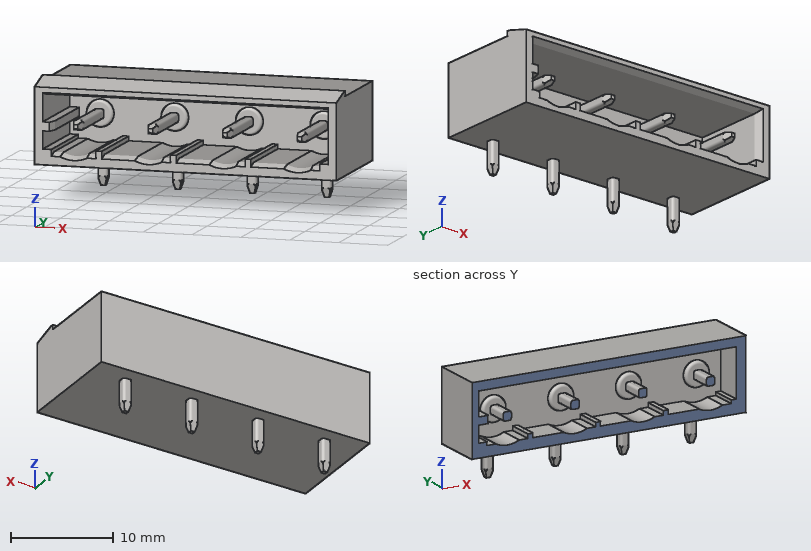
import cadquery as cq


length = 30.85
depth = 11.9
body_height = 7.9
total_height = 11.9
ridge_height = 8.42
ridge_back = 2.93
ridge_flat = 0.37
front_height = 7.7
half_length = length / 2

back_wall = 3.0
cavity_depth = depth - back_wall
end_wall = 0.83
ledge_z = 1.57
floor_z = 1.2
ceiling_z = 6.88
mouth_flare = 0.3
mouth_depth = 0.93

pin_count = 4
pin_pitch = 7.62
pin_size = 1.0
pin_edge_radius = 0.28
pin_axis_z = 3.83
pin_leg_y = depth - 2.0
pin_front_y = 0.75
pin_bottom_z = ridge_height - total_height
tip_length = 1.0
tip_size = 0.43
pin_xs = [(i - (pin_count - 1) / 2) * pin_pitch for i in range(pin_count)]

boss_diameter = 2.75
boss_height = 0.5
boss_round = 0.28
groove_radius = 2.93

floor_half_width = 2.28
rib_width = 0.6
rib_top_z = 1.67
key_width = 1.0
key_height = 0.9
key_z = pin_axis_z


def box(x0, x1, y0, y1, z0, z1):
    """Axis-aligned box between the given limits."""
    return cq.Workplane("XY").box(x1 - x0, y1 - y0, z1 - z0, centered=False).translate((x0, y0, z0))


def plane_facing_back(x, y, z):
    """Sketch plane whose normal is +Y and whose second axis is +Z."""
    return cq.Workplane(cq.Plane(origin=(x, y, z), xDir=(-1, 0, 0), normal=(0, 1, 0)))


def mouth(front, back):
    """Tapered mouth between two rectangles, each given as (x0, x1, z0, z1)."""

    def rectangle(limits, y):
        x0, x1, z0, z1 = limits
        corners = [(x0, y, z0), (x1, y, z0), (x1, y, z1), (x0, y, z1)]
        return cq.Wire.makePolygon([cq.Vector(*corner) for corner in corners], close=True)

    return cq.Workplane(cq.Solid.makeLoft([rectangle(front, 0), rectangle(back, mouth_depth)], True))


def make_shroud():
    profile = [
        (0, 0),
        (depth, 0),
        (depth, body_height),
        (ridge_back, body_height),
        (ridge_back, ridge_height),
        (ridge_back - ridge_flat, ridge_height),
        (0, front_height),
    ]
    return cq.Workplane("YZ").polyline(profile).close().extrude(length).translate((-half_length, 0, 0))


def make_cavity():
    left = -half_length + end_wall
    right = half_length - end_wall - mouth_flare
    cavity = box(left, right, 0, cavity_depth, ledge_z, ceiling_z)
    flared = (left, right + mouth_flare, ledge_z, ceiling_z + mouth_flare)
    cavity = cavity.union(mouth(flared, (left, right, ledge_z, ceiling_z)))

    floor_left = pin_xs[0] - floor_half_width
    floor_right = pin_xs[-1] + floor_half_width
    cavity = cavity.union(box(floor_left, floor_right, 0, cavity_depth, floor_z, ledge_z))
    flared = (floor_left, floor_right, floor_z - mouth_flare, ledge_z)
    return cavity.union(mouth(flared, (floor_left, floor_right, floor_z, ledge_z)))


def make_groove(x):
    """Part of a flared cylinder around the pin axis that dips below the cavity floor."""
    axis_start = cq.Vector(x, 0, pin_axis_z)
    along = cq.Vector(0, 1, 0)
    cylinder = cq.Solid.makeCylinder(groove_radius, cavity_depth, axis_start, along)
    flare = cq.Solid.makeCone(groove_radius + mouth_flare, groove_radius, mouth_depth, axis_start, along)
    below_floor = box(x - groove_radius, x + groove_radius, 0, cavity_depth, 0, floor_z)
    return cq.Workplane(cylinder).union(cq.Workplane(flare)).intersect(below_floor)


def make_rib(x):
    """Dividing rib beside the floor section of the pin at x."""
    start = x + floor_half_width
    return box(start, start + rib_width, 0, cavity_depth, 0, rib_top_z)


def make_key():
    wall = -half_length + end_wall
    outline = [
        (wall, 0),
        (wall + key_width - mouth_flare, 0),
        (wall + key_width, mouth_depth),
        (wall + key_width, cavity_depth),
        (wall, cavity_depth),
    ]
    return cq.Workplane("XY").workplane(offset=key_z - key_height / 2).polyline(outline).close().extrude(key_height)


def make_boss(x):
    boss = plane_facing_back(x, cavity_depth - boss_height, pin_axis_z).circle(boss_diameter / 2)
    return boss.extrude(boss_height).faces("<Y").edges().fillet(boss_round)


def make_bar(bar_length):
    """Pin bar along +Z with its tip at Z = 0: square bar with rounded edges, tapered by four flats."""
    bar = cq.Workplane("XY").rect(pin_size, pin_size).extrude(bar_length).edges("|Z").fillet(pin_edge_radius)
    tip = cq.Workplane("XY").rect(tip_size, tip_size)
    tip = tip.workplane(offset=tip_length).rect(pin_size, pin_size).loft(ruled=True)
    shank = cq.Workplane("XY").workplane(offset=tip_length).rect(pin_size, pin_size).extrude(bar_length)
    return bar.intersect(tip.union(shank))


def make_pin(x):
    contact = make_bar(pin_leg_y - pin_front_y).rotate((0, 0, 0), (1, 0, 0), -90)
    leg = make_bar(pin_axis_z - pin_bottom_z)
    contact = contact.translate((x, pin_front_y, pin_axis_z))
    return contact.union(leg.translate((x, pin_leg_y, pin_bottom_z)))


result = make_shroud().cut(make_cavity())
for pin_x in pin_xs:
    result = result.cut(make_groove(pin_x))
for pin_x in pin_xs[:-1]:
    result = result.union(make_rib(pin_x))
result = result.union(make_key())
for pin_x in pin_xs:
    result = result.union(make_boss(pin_x)).union(make_pin(pin_x))